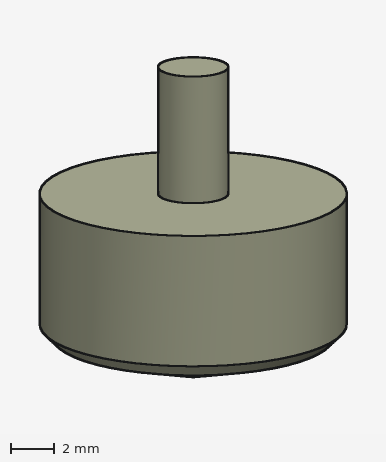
import cadquery as cq

total_height = 14.7
body_diameter = 14.0
stem_diameter = 3.2
stem_height = 6.0
chamfer_size = 0.6
cone_height = 1.93

body_radius = body_diameter / 2
stem_radius = stem_diameter / 2
cone_radius = body_radius - chamfer_size
chamfer_top = cone_height + chamfer_size
body_top = total_height - stem_height

half_profile = (
    cq.Workplane("XZ")
    .moveTo(0, 0)
    .lineTo(cone_radius, cone_height)
    .lineTo(body_radius, chamfer_top)
    .lineTo(body_radius, body_top)
    .lineTo(stem_radius, body_top)
    .lineTo(stem_radius, total_height)
    .lineTo(0, total_height)
    .close()
)

result = half_profile.revolve(360, (0, 0, 0), (0, 1, 0))